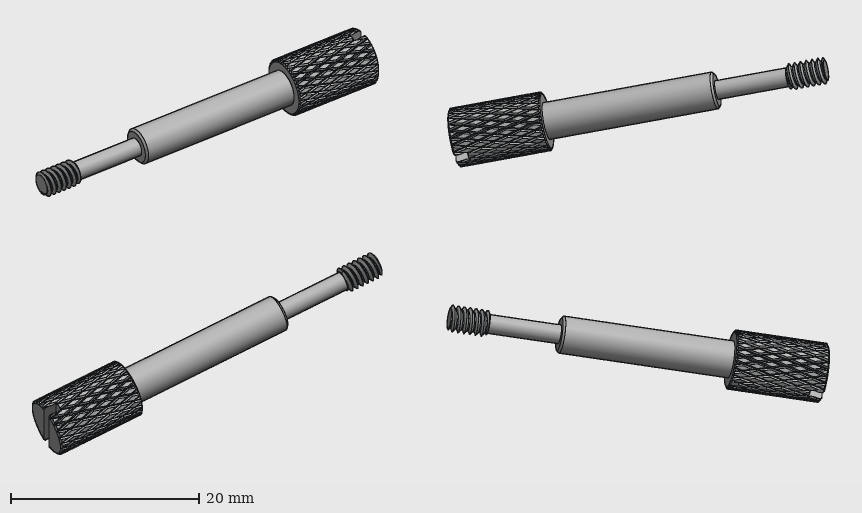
import cadquery as cq
import math

total_length = 40.75
head_length = 10.1
threaded_length = 4.2
neck_length = 7.8
shank_start = threaded_length + neck_length
head_start = total_length - head_length

head_diameter = 6.35
shank_diameter = 4.0
neck_diameter = 2.05
thread_diameter = 2.85

head_bevel_length = 0.15
head_bevel_depth = 0.25
shank_chamfer = 0.25
thread_bevel_length = 0.15
thread_bevel_depth = 0.3

slot_width = 1.0
slot_depth = 1.5

groove_count = 24
groove_depth = 0.15
groove_width = 0.3
diamond_length = 3.05
diamond_centre = 5.45

thread_turns = 6.6
thread_pitch = threaded_length / thread_turns
thread_half_angle = math.radians(30)
thread_depth = 0.35
crest_width = thread_pitch / 8
cutter_overlap = 0.05


def bevelled_cylinder(diameter, length, bevel_length, bevel_depth):
    """Cylinder standing on Z = 0 with both end rims bevelled."""
    radius = diameter / 2
    return (
        cq.Workplane("YZ")
        .moveTo(0, 0)
        .lineTo(radius - bevel_depth, 0)
        .lineTo(radius, bevel_length)
        .lineTo(radius, length - bevel_length)
        .lineTo(radius - bevel_depth, length)
        .lineTo(0, length)
        .close()
        .revolve(360, (0, 0), (0, 1))
    )


def knurl_envelope(hand):
    """Twisted star prism whose notches are one set of knurl grooves; hand is +1 or -1."""
    step = 2 * math.pi / groove_count
    root_radius = head_diameter / 2 - groove_depth
    half_width_angle = groove_width / head_diameter
    rise_per_angle = groove_depth / half_width_angle
    peak_radius = root_radius + rise_per_angle * step / 2
    points = []
    for index in range(groove_count):
        for offset, radius in ((0, peak_radius), (step / 2, root_radius)):
            angle = index * step + offset
            points.append((radius * math.cos(angle), radius * math.sin(angle)))
    twist = hand * math.degrees(step) * head_length / diamond_length
    start_angle = -twist * diamond_centre / head_length
    return (
        cq.Workplane("XY")
        .polyline(points)
        .close()
        .twistExtrude(head_length, twist)
        .rotate((0, 0, 0), (0, 0, 1), start_angle)
    )


def make_head():
    """Knurled head with its driver slot, moved up onto the shank."""
    head = bevelled_cylinder(head_diameter, head_length, head_bevel_length, head_bevel_depth)
    for hand in (1, -1):
        head = head.intersect(knurl_envelope(hand))
    slot = (
        cq.Workplane("XY")
        .workplane(offset=head_length - slot_depth)
        .rect(slot_width, 2 * head_diameter)
        .extrude(2 * slot_depth)
    )
    return head.cut(slot).translate((0, 0, head_start))


def make_shank():
    return (
        cq.Workplane("XY")
        .workplane(offset=shank_start)
        .circle(shank_diameter / 2)
        .extrude(head_start - shank_start)
        .faces("<Z")
        .chamfer(shank_chamfer)
    )


def make_neck():
    return (
        cq.Workplane("XY")
        .workplane(offset=threaded_length)
        .circle(neck_diameter / 2)
        .extrude(neck_length)
    )


def make_threaded_end():
    """Bevelled blank with one helical V groove cut along its whole length."""
    blank = bevelled_cylinder(thread_diameter, threaded_length, thread_bevel_length, thread_bevel_depth)
    root_radius = thread_diameter / 2 - thread_depth
    outer_radius = thread_diameter / 2 + cutter_overlap
    flank_slope = math.tan(thread_half_angle)
    half_outer = (thread_pitch - crest_width) / 2 + cutter_overlap * flank_slope
    half_root = half_outer - (outer_radius - root_radius) * flank_slope
    groove_turns = math.ceil(thread_turns) + 2
    helix = cq.Wire.makeHelix(thread_pitch, groove_turns * thread_pitch, root_radius)
    groove = (
        cq.Workplane("XZ")
        .moveTo(root_radius, -half_root)
        .lineTo(outer_radius, -half_outer)
        .lineTo(outer_radius, half_outer)
        .lineTo(root_radius, half_root)
        .close()
        .sweep(helix, isFrenet=True)
        .translate((0, 0, -thread_pitch))
    )
    return blank.cut(groove)


screw = make_threaded_end().union(make_neck()).union(make_shank()).union(make_head())

result = screw.solids().rotate((0, 0, 0), (1, 0, 0), -90)